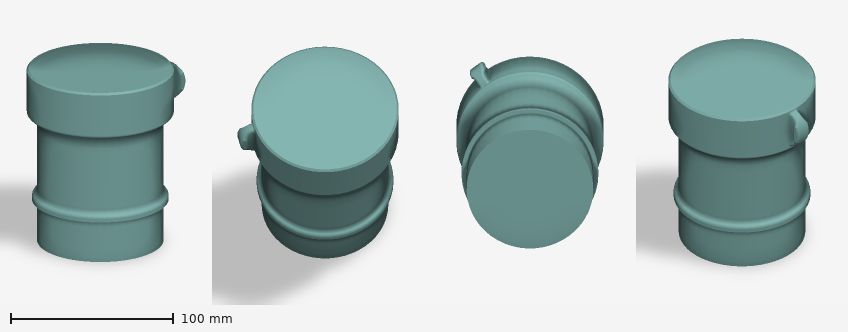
import cadquery as cq
import math

total_height = 112.7
tube_radius = 38.9
cap_diameter = 90.5
cap_radius = cap_diameter / 2
cap_top_chamfer = 1.2

shoulder_top = 84.9
shoulder_bend = 83.2
shoulder_bottom = 74.7

ring_radius = 42.0
ring_bottom = 27.0
ring_wall_top = 29.2
ring_bend = 31.3
ring_top = 34.3

overall_depth = 100.0
tab_reach = overall_depth - cap_radius
tab_disc_radius = 12.6
tab_center_z = 98.2
tab_half_width = 5.0
tab_waist_half_width = 3.2
tab_waist_y = 48.5
tab_grip_y = 51.0
tab_root_y = 40.6
tab_edge_fillet = 1.6
tab_root_fillet = 1.4


def bend_between(outer_radius, outer_z, inner_radius, inner_z, bend_z):
    """Give the arc midpoints and the bend of two tangent arcs joining two vertical walls."""
    step = outer_radius - inner_radius
    rise = inner_z - outer_z
    bend_fraction = (bend_z - outer_z) / rise
    bend = (outer_radius - step * bend_fraction, bend_z)
    turn = 2 * math.atan2(step, abs(rise))
    mid_z_fraction = math.sin(turn / 2) / math.sin(turn)
    mid_r_fraction = (1 - math.cos(turn / 2)) / (1 - math.cos(turn))
    outer_mid = (
        outer_radius + (bend[0] - outer_radius) * mid_r_fraction,
        outer_z + (bend_z - outer_z) * mid_z_fraction,
    )
    inner_mid = (
        inner_radius + (bend[0] - inner_radius) * mid_r_fraction,
        inner_z + (bend_z - inner_z) * mid_z_fraction,
    )
    return outer_mid, bend, inner_mid


def make_body():
    ring_mid, ring_turn, ring_root_mid = bend_between(
        ring_radius, ring_wall_top, tube_radius, ring_top, ring_bend
    )
    cap_mid, shoulder_turn, flare_mid = bend_between(
        cap_radius, shoulder_top, tube_radius, shoulder_bottom, shoulder_bend
    )
    profile = (
        cq.Workplane("XZ")
        .lineTo(tube_radius, 0)
        .lineTo(tube_radius, ring_bottom)
        .lineTo(ring_radius, ring_bottom)
        .lineTo(ring_radius, ring_wall_top)
        .threePointArc(ring_mid, ring_turn)
        .threePointArc(ring_root_mid, (tube_radius, ring_top))
        .lineTo(tube_radius, shoulder_bottom)
        .threePointArc(flare_mid, shoulder_turn)
        .threePointArc(cap_mid, (cap_radius, shoulder_top))
        .lineTo(cap_radius, total_height - cap_top_chamfer)
        .lineTo(cap_radius - cap_top_chamfer, total_height)
        .lineTo(0, total_height)
        .close()
    )
    return profile.revolve(360, (0, 0, 0), (0, 1, 0))


def make_tab():
    flare_step = tab_half_width - tab_waist_half_width
    flare_length = tab_grip_y - tab_waist_y
    flare_radius = (flare_step**2 + flare_length**2) / (2 * flare_step)
    half_turn = math.atan2(flare_step, flare_length)
    flare_mid_x = tab_waist_half_width + flare_radius * (1 - math.cos(half_turn))
    flare_mid_y = tab_waist_y + flare_radius * math.sin(half_turn)
    waisted_bar = (
        cq.Workplane("XY", origin=(0, 0, tab_center_z))
        .moveTo(-tab_waist_half_width, tab_root_y)
        .lineTo(tab_waist_half_width, tab_root_y)
        .lineTo(tab_waist_half_width, tab_waist_y)
        .threePointArc((flare_mid_x, flare_mid_y), (tab_half_width, tab_grip_y))
        .lineTo(tab_half_width, tab_reach)
        .lineTo(-tab_half_width, tab_reach)
        .lineTo(-tab_half_width, tab_grip_y)
        .threePointArc((-flare_mid_x, flare_mid_y), (-tab_waist_half_width, tab_waist_y))
        .close()
        .extrude(tab_disc_radius, both=True)
    )
    disc = (
        cq.Workplane("YZ", origin=(0, tab_reach - tab_disc_radius, tab_center_z))
        .circle(tab_disc_radius)
        .extrude(tab_half_width, both=True)
    )
    return waisted_bar.intersect(disc).edges("not %LINE").fillet(tab_edge_fillet)


def blend_tab_root(part):
    root_edges = cq.selectors.BoxSelector(
        (-tab_half_width, cap_radius - tab_root_fillet, shoulder_top),
        (tab_half_width, cap_radius + tab_root_fillet, total_height - cap_top_chamfer),
    )
    return part.edges(root_edges).fillet(tab_root_fillet)


body_with_tab = make_body().union(make_tab())
result = blend_tab_root(body_with_tab)